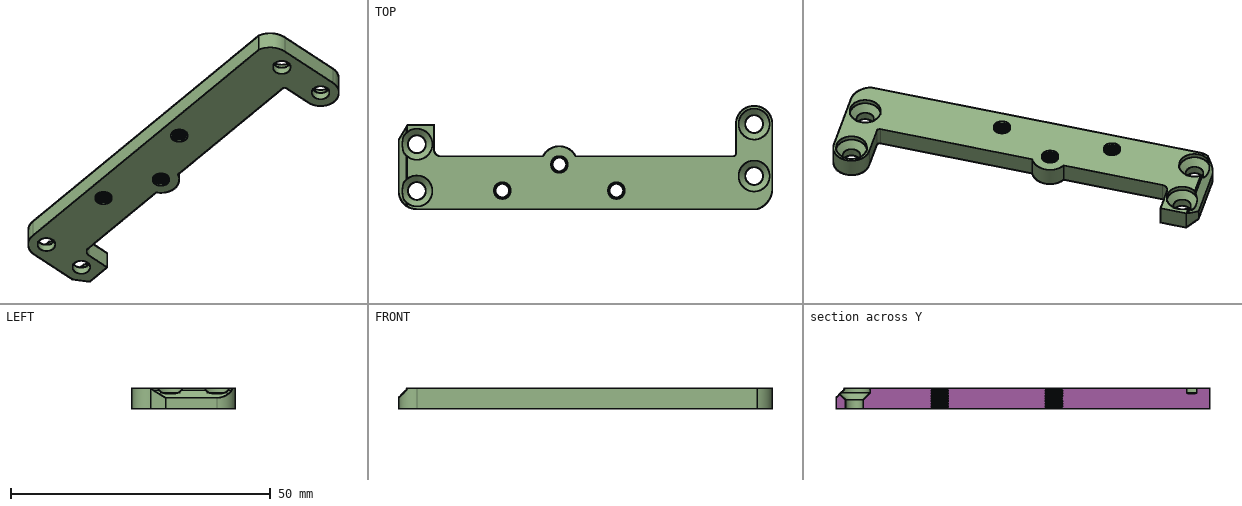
import cadquery as cq
import math

length = 72.0
width = 19.95
thickness = 4.0

bar_width = 10.2
end_radius = 3.5
left_arm_width = 6.85
left_arm_top = 16.3
left_arm_cut_x = 1.7
left_arm_cut_y = 2.9
left_inner_fillet = 1.3
right_inner_fillet = 0.5
right_corner_x = 2.95
right_corner_y = 4.0
boss_radius = 3.5

bevel_width = 1.45
step_top_x = 1.65
bevel_bottom = 2.15
step_height = 0.4

screw_diameter = 3.4
head_diameter = 6.0
head_recess = 0.9
cone_depth = (head_diameter - screw_diameter) / 2
left_screw_spacing = 9.0
right_screw_spacing = 10.0

thread_major = 3.25
thread_minor = 2.6
thread_count = 8
thread_middle_x = 30.95
thread_spacing = 21.95
thread_low_y = 3.6
thread_high_y = 8.65

lug_x = length - end_radius
lug_y = width - end_radius
lug_left = length - 2 * end_radius
boss_half_chord = math.sqrt(boss_radius**2 - (bar_width - thread_high_y) ** 2)

screw_points = [
    (end_radius, end_radius),
    (end_radius, end_radius + left_screw_spacing),
    (lug_x, lug_y),
    (lug_x, lug_y - right_screw_spacing),
]
thread_points = [
    (thread_middle_x - thread_spacing / 2, thread_low_y),
    (thread_middle_x + thread_spacing / 2, thread_low_y),
    (thread_middle_x, thread_high_y),
]


def make_plate():
    """Flat bar with an arm at each end and a round boss on its back edge."""
    right_corner_radius = (right_corner_x**2 + right_corner_y**2) / (2 * right_corner_x)
    plate = (
        cq.Workplane("XY")
        .moveTo(end_radius, 0)
        .lineTo(length - right_corner_x, 0)
        .radiusArc((length, right_corner_y), -right_corner_radius)
        .lineTo(length, lug_y)
        .threePointArc((lug_x, width), (lug_left, lug_y))
        .lineTo(lug_left, bar_width)
        .lineTo(thread_middle_x + boss_half_chord, bar_width)
        .threePointArc(
            (thread_middle_x, thread_high_y + boss_radius),
            (thread_middle_x - boss_half_chord, bar_width),
        )
        .lineTo(left_arm_width, bar_width)
        .lineTo(left_arm_width, left_arm_top)
        .lineTo(left_arm_cut_x, left_arm_top)
        .lineTo(0, left_arm_top - left_arm_cut_y)
        .lineTo(0, end_radius)
        .radiusArc((end_radius, 0), -end_radius)
        .close()
        .extrude(thickness)
    )
    for corner_x, radius in ((left_arm_width, left_inner_fillet), (lug_left, right_inner_fillet)):
        corner = cq.selectors.NearestToPointSelector((corner_x, bar_width, thickness / 2))
        plate = plate.edges("|Z").edges(corner).fillet(radius)
    return plate


def make_bevel_cutter():
    """Wedge that removes the upper left edge over the full width."""
    return (
        cq.Workplane("XZ")
        .moveTo(0, bevel_bottom)
        .lineTo(bevel_width, thickness - step_height)
        .lineTo(step_top_x, thickness)
        .lineTo(0, thickness)
        .close()
        .extrude(-width)
    )


def make_screw_cutter():
    """Through hole with a cone below a short cylindrical head recess."""
    cone_top = thickness - head_recess
    return (
        cq.Workplane("XZ")
        .lineTo(screw_diameter / 2, 0)
        .lineTo(screw_diameter / 2, cone_top - cone_depth)
        .lineTo(head_diameter / 2, cone_top)
        .lineTo(head_diameter / 2, thickness)
        .lineTo(0, thickness)
        .close()
        .revolve(360, (0, 0, 0), (0, 1, 0))
    )


def make_thread_cutter():
    """Through hole with tapered ring grooves standing for the thread."""
    pitch = thickness / thread_count
    root_flat = pitch / 8
    crest_flat = pitch / 4
    profile = cq.Workplane("XZ").lineTo(thread_major / 2, 0)
    for turn in range(thread_count):
        bottom = turn * pitch
        profile = (
            profile.lineTo(thread_major / 2, bottom + root_flat / 2)
            .lineTo(thread_minor / 2, bottom + (pitch - crest_flat) / 2)
            .lineTo(thread_minor / 2, bottom + (pitch + crest_flat) / 2)
            .lineTo(thread_major / 2, bottom + pitch - root_flat / 2)
        )
    profile = profile.lineTo(thread_major / 2, thickness)
    return profile.lineTo(0, thickness).close().revolve(360, (0, 0, 0), (0, 1, 0))


def cut_at(body, cutter, points):
    """Subtract a copy of the cutter at every point."""
    for x, y in points:
        body = body.cut(cutter.translate((x, y, 0)))
    return body


result = make_plate().cut(make_bevel_cutter())
result = cut_at(result, make_screw_cutter(), screw_points)
result = cut_at(result, make_thread_cutter(), thread_points)